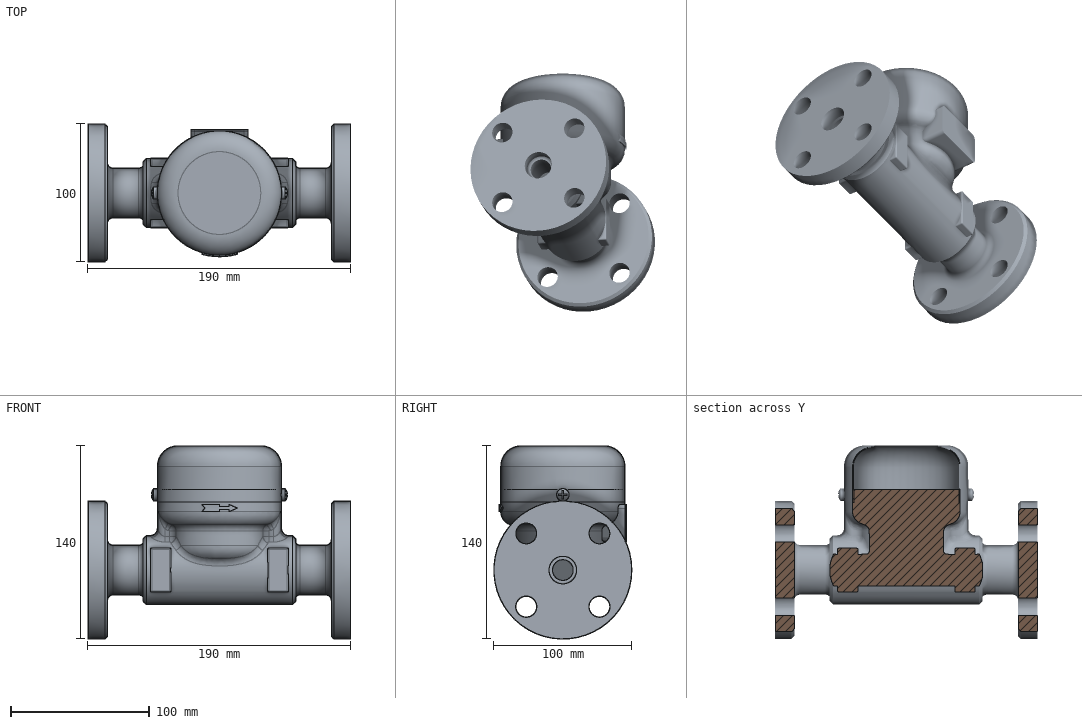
import cadquery as cq
import math

face_to_face = 190.0

flange_diameter = 100.0
flange_thickness = 14.0
flange_chamfer = 2.0
bolt_circle_diameter = 75.0
bolt_hole_diameter = 15.0
bolt_hole_count = 4

pipe_diameter = 36.0
pipe_fillet = 4.0
weld_flare_length = 3.1
barrel_diameter = 50.0
barrel_length = 110.8
barrel_chamfer = 2.5

bore_diameter = 20.0
bore_depth = 10.0
inner_bore_diameter = 15.0
inner_bore_depth = 40.0

wrench_pad_width = 15.0
wrench_pad_height = 32.0
wrench_pad_offset = 42.5
wrench_pad_across = 50.6
wrench_pad_fillet = 1.0

chamber_diameter = 90.0
chamber_fillet_top = 42.3
chamber_fillet = 10.0
bowl_radius = 35.0
bowl_top = 28.3
bowl_fillet_top = 17.7
bowl_fillet = 10.0
blend_radius = 5.0

spigot_diameter = 88.6
spigot_top = 58.5
dome_bottom = 49.2
dome_top = 90.0
dome_fillet = 15.0

neck_width = 25.0
neck_top = 45.0

plate_width = 41.5
plate_top = 47.4
plate_bottom = 20.6
plate_corner = 2.8
plate_face = 46.0
pad_root = 18.0

arrow_face_radius = 46.2
arrow_root = 1.0
arrow_tail = -12.6
arrow_tip = 13.0
arrow_notch = 2.0
arrow_step = 0.0
arrow_head = 7.0
arrow_z = 44.9
arrow_tail_half_height = 2.6
arrow_shaft_half_height = 1.2

screw_height = 54.5
screw_head_diameter = 9.0
screw_rim = 47.6
screw_tip = 49.3
cross_length = 6.0
cross_width = 1.0
cross_depth = 0.9

half_length = face_to_face / 2
chamber_radius = chamber_diameter / 2
barrel_radius = barrel_diameter / 2
spigot_radius = spigot_diameter / 2
dome_wall = chamber_radius - spigot_radius
tolerance = 0.05


def cylinder_x(diameter, start, end):
    return cq.Workplane("YZ", origin=(start, 0, 0)).circle(diameter / 2).extrude(end - start)


def cylinder_z(radius, bottom, top):
    return cq.Workplane("XY", origin=(0, 0, bottom)).circle(radius).extrude(top - bottom)


def make_pipe_end():
    """Flange, connecting pipe and its fillets on the -X side, as one turned profile."""
    back = -half_length + flange_thickness
    shoulder = -barrel_length / 2
    pipe_radius = pipe_diameter / 2
    flange_radius = flange_diameter / 2
    bend = math.sqrt(0.5)
    flare_half_angle = math.asin(weld_flare_length / pipe_fillet) / 2
    profile = (
        cq.Workplane("XY")
        .moveTo(-half_length, 0)
        .lineTo(-half_length, flange_radius)
        .lineTo(back - flange_chamfer, flange_radius)
        .lineTo(back, flange_radius - flange_chamfer)
        .lineTo(back, pipe_radius + pipe_fillet)
        .threePointArc(
            (back + pipe_fillet * (1 - bend), pipe_radius + pipe_fillet * (1 - bend)),
            (back + pipe_fillet, pipe_radius),
        )
        .lineTo(shoulder - weld_flare_length, pipe_radius)
        .threePointArc(
            (
                shoulder - weld_flare_length + pipe_fillet * math.sin(flare_half_angle),
                pipe_radius + pipe_fillet * (1 - math.cos(flare_half_angle)),
            ),
            (shoulder, pipe_radius + pipe_fillet * (1 - math.cos(2 * flare_half_angle))),
        )
        .lineTo(shoulder, 0)
        .close()
    )
    end = profile.revolve(360, (0, 0, 0), (1, 0, 0))
    bolt_holes = (
        cq.Workplane("YZ", origin=(-half_length, 0, 0))
        .polarArray(bolt_circle_diameter / 2, 45, 360, bolt_hole_count)
        .circle(bolt_hole_diameter / 2)
        .extrude(flange_thickness)
    )
    return end.cut(bolt_holes)


def make_bore():
    step = -half_length + bore_depth
    outer = cylinder_x(bore_diameter, -half_length, step)
    return outer.union(cylinder_x(inner_bore_diameter, step, -half_length + inner_bore_depth))


def make_neck():
    block = cq.Workplane("XY").box(chamber_diameter, neck_width, neck_top, centered=(True, True, False))
    neck = block.intersect(cylinder_z(chamber_radius, 0, neck_top))
    return neck.edges("|Z").fillet(blend_radius)


def arc_offset(radius, turn):
    """Sideways and lengthwise travel along an arc that starts off upright."""
    return radius * (1 - math.cos(turn)), radius * math.sin(turn)


def make_chamber():
    """Bowl, chamber and spigot as one turned profile, with a smooth S-curve between the two steps."""
    step = chamber_radius - bowl_radius
    drop = chamber_fillet_top - bowl_top
    arc_sum = (step**2 + drop**2) / (2 * step)
    hollow_radius = arc_sum - chamber_fillet
    turn = math.asin(drop / arc_sum)
    hollow_out, hollow_up = arc_offset(hollow_radius, turn)
    hollow_mid_out, hollow_mid_up = arc_offset(hollow_radius, turn / 2)
    round_mid_in, round_mid_down = arc_offset(chamber_fillet, turn / 2)
    bend = bowl_fillet * (1 - math.sqrt(0.5))
    bowl_bottom = bowl_fillet_top - bowl_fillet
    profile = (
        cq.Workplane("XZ")
        .moveTo(0, bowl_bottom)
        .lineTo(bowl_radius - bowl_fillet, bowl_bottom)
        .threePointArc(
            (bowl_radius - bend, bowl_bottom + bend),
            (bowl_radius, bowl_fillet_top),
        )
        .lineTo(bowl_radius, bowl_top)
        .threePointArc(
            (bowl_radius + hollow_mid_out, bowl_top + hollow_mid_up),
            (bowl_radius + hollow_out, bowl_top + hollow_up),
        )
        .threePointArc(
            (chamber_radius - round_mid_in, chamber_fillet_top - round_mid_down),
            (chamber_radius, chamber_fillet_top),
        )
        .lineTo(chamber_radius, dome_bottom)
        .lineTo(spigot_radius, dome_bottom)
        .lineTo(spigot_radius, spigot_top)
        .lineTo(0, spigot_top)
        .close()
    )
    return profile.revolve(360, (0, 0, 0), (0, 1, 0))


def make_barrel():
    barrel = cylinder_x(barrel_diameter, -barrel_length / 2, barrel_length / 2)
    return barrel.faces("<X or >X").chamfer(barrel_chamfer)


def lies_on_barrel(edge):
    """True for a seam on the barrel surface, away from the barrel's own edges."""
    box = edge.BoundingBox()
    flat = box.zmax < tolerance
    at_end = max(abs(box.xmin), abs(box.xmax)) > chamber_radius + blend_radius
    samples = [edge.positionAt(position) for position in (0, 0.3, 0.6, 1)]
    on_surface = all(abs(math.hypot(p.y, p.z) - barrel_radius) < tolerance for p in samples)
    return on_surface and not flat and not at_end


def joins_neck_and_bowl(edge):
    """True for the corners where the flat neck walls run into the bowl and the S-curve above it."""
    box = edge.BoundingBox()
    on_wall = box.ylen < tolerance and abs(abs(box.center.y) - neck_width / 2) < tolerance
    above_barrel = box.zmax > barrel_radius
    corner_line = box.xlen < tolerance and abs(box.center.x) > bowl_radius
    return on_wall and above_barrel and not corner_line


def fillet_where(shape, condition, radius):
    seams = [edge for edge in shape.edges().vals() if condition(edge)]
    return shape.newObject(seams).fillet(radius)


def make_wrench_pads():
    """Flats on both sides of the barrel, near each end."""
    pads = cq.Workplane("XY")
    for x in (-wrench_pad_offset, wrench_pad_offset):
        pad = cq.Workplane("XY", origin=(x, 0, 0)).box(wrench_pad_width, wrench_pad_across, wrench_pad_height)
        pads = pads.union(pad.edges().fillet(wrench_pad_fillet))
    return pads


def make_plate_block(back, front):
    """Upright block with the plate's rounded outline, between two Y positions."""
    height = plate_top - plate_bottom
    block = cq.Workplane("XY").box(plate_width, front - back, height, centered=(True, False, False))
    return block.edges("|Y").fillet(plate_corner).translate((0, back, plate_bottom))


def make_arrow():
    """Flow arrow pointing along +X, wrapped round the chamber front."""
    upper = [
        (arrow_tail, arrow_tail_half_height),
        (arrow_step, arrow_tail_half_height),
        (arrow_step, arrow_shaft_half_height),
        (arrow_head, arrow_shaft_half_height),
        (arrow_head, arrow_tail_half_height),
    ]
    lower = [(x, -z) for x, z in reversed(upper)]
    outline = upper + [(arrow_tip, 0)] + lower + [(arrow_tail + arrow_notch, 0)]
    arrow = cq.Workplane("XZ", origin=(0, 0, arrow_z)).polyline(outline).close().extrude(chamber_diameter)
    core = cylinder_z(chamber_radius - arrow_root, 0, dome_bottom)
    ring = cylinder_z(arrow_face_radius, 0, dome_bottom).cut(core)
    return arrow.intersect(ring)


def make_housing():
    """Flanged barrel, neck and chamber, up to the spigot inside the dome."""
    pipe_end = make_pipe_end()
    bore = make_bore()
    trunk = make_barrel().union(make_neck()).union(make_chamber())
    trunk = fillet_where(trunk, joins_neck_and_bowl, blend_radius)
    trunk = fillet_where(trunk, lies_on_barrel, blend_radius)
    pad = make_plate_block(pad_root, chamber_radius)
    housing = trunk.union(make_wrench_pads()).union(pad).union(make_arrow())
    housing = housing.union(pipe_end).union(pipe_end.mirror("YZ"))
    return housing.cut(bore).cut(bore.mirror("YZ"))


def make_screw_head():
    """Cross-recessed screw head with a spherical crown, on the +X side of the dome."""
    radius = screw_head_diameter / 2
    rise = screw_tip - screw_rim
    crown_radius = (radius**2 + rise**2) / (2 * rise)
    crown_half_angle = math.asin(radius / crown_radius) / 2
    crown_drop, crown_middle = arc_offset(crown_radius, crown_half_angle)
    root = chamber_radius - dome_wall / 2
    head = (
        cq.Workplane("XY")
        .moveTo(root, 0)
        .lineTo(screw_tip, 0)
        .threePointArc((screw_tip - crown_drop, crown_middle), (screw_rim, radius))
        .lineTo(root, radius)
        .close()
        .revolve(360, (0, 0, 0), (1, 0, 0))
    )
    for size in ((cross_length, cross_width), (cross_width, cross_length)):
        slot = cq.Workplane("YZ", origin=(screw_tip, 0, 0)).rect(*size).extrude(-cross_depth)
        head = head.cut(slot)
    return head.translate((0, 0, screw_height))


def make_dome():
    """Thin hollow dome with its two screw heads."""
    outside = cylinder_z(chamber_radius, dome_bottom, dome_top).faces(">Z").edges().fillet(dome_fillet)
    inside = cylinder_z(spigot_radius, dome_bottom, dome_top - dome_wall)
    inside = inside.faces(">Z").edges().fillet(dome_fillet - dome_wall)
    dome = outside.cut(inside)
    for angle in (0, 180):
        dome = dome.union(make_screw_head().rotate((0, 0, 0), (0, 0, 1), angle))
    return dome


def make_name_plate():
    return make_plate_block(chamber_radius, plate_face)


housing = make_housing()
dome = make_dome()
name_plate = make_name_plate()

result = cq.Compound.makeCompound([housing.val(), dome.val(), name_plate.val()])